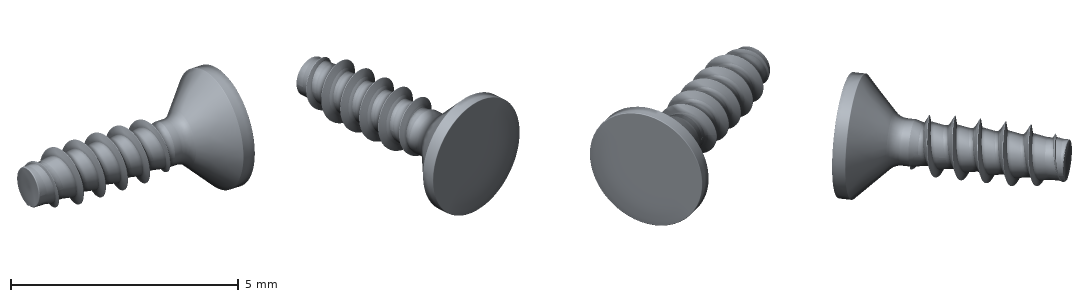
import cadquery as cq
import math


LENGTH = 5.0

HEAD_RADIUS = 1.4
HEAD_RIM_HEIGHT = 0.3
HEAD_CONE_ANGLE = 45.0
HEAD_EDGE_ROUND = 0.015
NECK_FILLET_RADIUS = 0.4

SHANK_RADIUS = 0.525
SHANK_END = 1.53
CORE_RADIUS = 0.473
CORE_START = 1.73

TIP_RADIUS = 0.464
TIP_EDGE_ROUND = 0.022
TIP_DISH_DEPTH = 0.03

PITCH = 0.57
THREAD_START = 1.442
START_ANGLE = 180.0
RUN_IN_TURNS = 1.0
FULL_TURNS = 3.75
RUN_OUT_TURNS = 1.3
OVERRUN_TURNS = 0.6
STEPS_PER_TURN = 24

CREST_RADIUS = 0.7
CREST_HALF_WIDTH = 0.006
RUN_IN_RADIUS = 0.56
RUN_OUT_RADIUS = 0.495
OVERRUN_RADIUS = 0.42

HEAD_SIDE_FLANK = ((-0.145, 0.235), (-0.09, 0.165))
TIP_SIDE_STEEPNESS = 3.1
THREAD_INNER_RADIUS = 0.15

LAND_RADIUS = 0.525
LAND_SLOPE = 0.16
LAND_END = 0.4
RUN_OUT_LAND_DROP = 0.045


def thread_section(crest_radius, land_radius):
    """Corners of the thread and its root land, as (axial offset from the crest, radius)."""
    height_above_land = crest_radius - land_radius
    flank_foot = (height_above_land + TIP_SIDE_STEEPNESS * CREST_HALF_WIDTH) / (
        TIP_SIDE_STEEPNESS - LAND_SLOPE
    )
    head_side = [(offset, crest_radius - drop) for offset, drop in HEAD_SIDE_FLANK]
    head_side_offset = HEAD_SIDE_FLANK[0][0]
    return [
        (head_side_offset, THREAD_INNER_RADIUS),
        *head_side,
        (-CREST_HALF_WIDTH, crest_radius),
        (CREST_HALF_WIDTH, crest_radius),
        (flank_foot, land_radius - LAND_SLOPE * flank_foot),
        (LAND_END, land_radius - LAND_SLOPE * LAND_END),
        (LAND_END, THREAD_INNER_RADIUS),
    ]


def corner_curve(start_turn, end_turn, start_corner, end_corner):
    """Helical curve along which one section corner moves evenly from start to end."""
    steps = math.ceil((end_turn - start_turn) * STEPS_PER_TURN)
    points = []
    for step in range(steps + 1):
        share = step / steps
        turn = start_turn + (end_turn - start_turn) * share
        offset = start_corner[0] + (end_corner[0] - start_corner[0]) * share
        radius = start_corner[1] + (end_corner[1] - start_corner[1]) * share
        angle = math.radians(START_ANGLE) + 2 * math.pi * turn
        depth = THREAD_START + PITCH * turn + offset
        points.append(cq.Vector(radius * math.cos(angle), radius * math.sin(angle), depth))
    return cq.Edge.makeSpline(points)


def cap_face(corners):
    """Flat face closing one end of the thread."""
    return cq.Face.makeFromWires(cq.Wire.makePolygon(corners, close=True))


def make_thread():
    """Thread and root land with run-in and run-out, trimmed to the threaded length."""
    full_end = RUN_IN_TURNS + FULL_TURNS
    run_out_end = full_end + RUN_OUT_TURNS
    run_out_land = LAND_RADIUS - RUN_OUT_LAND_DROP
    stations = (
        (0.0, thread_section(RUN_IN_RADIUS, LAND_RADIUS)),
        (RUN_IN_TURNS, thread_section(CREST_RADIUS, LAND_RADIUS)),
        (full_end, thread_section(CREST_RADIUS, LAND_RADIUS)),
        (run_out_end, thread_section(RUN_OUT_RADIUS, run_out_land)),
        (run_out_end + OVERRUN_TURNS, thread_section(OVERRUN_RADIUS, OVERRUN_RADIUS)),
    )
    faces = []
    for (start_turn, start_section), (end_turn, end_section) in zip(stations, stations[1:]):
        curves = [
            corner_curve(start_turn, end_turn, start_corner, end_corner)
            for start_corner, end_corner in zip(start_section, end_section)
        ]
        if not faces:
            faces.append(cap_face([curve.startPoint() for curve in curves]))
        for curve, following in zip(curves, curves[1:] + curves[:1]):
            faces.append(cq.Face.makeRuledSurface(curve, following))
    faces.append(cap_face([curve.endPoint() for curve in curves]))
    thread = cq.Workplane(obj=cq.Solid.makeSolid(cq.Shell.makeShell(faces)).fix())
    threaded_length = (
        cq.Workplane("XY").workplane(offset=SHANK_END).circle(HEAD_RADIUS).extrude(LENGTH - SHANK_END)
    )
    return thread.intersect(threaded_length)


def revolve_profile(profile):
    """Solid of revolution about the screw axis from a half profile of (radius, depth)."""
    return profile.close().revolve(360, (0, 0, 0), (0, 1, 0))


def make_head_and_core():
    """Head, neck fillet, shank and plain core, running to the tip."""
    cone_angle = math.radians(HEAD_CONE_ANGLE)
    fillet_top_radius = SHANK_RADIUS + NECK_FILLET_RADIUS * (1 - math.cos(cone_angle))
    fillet_top = HEAD_RIM_HEIGHT + (HEAD_RADIUS - fillet_top_radius) / math.tan(cone_angle)
    fillet_bottom = fillet_top + NECK_FILLET_RADIUS * math.sin(cone_angle)
    half_sweep = cone_angle / 2
    fillet_middle = (
        SHANK_RADIUS + NECK_FILLET_RADIUS * (1 - math.cos(half_sweep)),
        fillet_bottom - NECK_FILLET_RADIUS * math.sin(half_sweep),
    )
    tip_round_inset = TIP_EDGE_ROUND * (1 - math.sqrt(0.5))
    tip_round_middle = (TIP_RADIUS - tip_round_inset, LENGTH - tip_round_inset)
    body = revolve_profile(
        cq.Workplane("XZ")
        .lineTo(HEAD_RADIUS, 0)
        .lineTo(HEAD_RADIUS, HEAD_RIM_HEIGHT)
        .lineTo(fillet_top_radius, fillet_top)
        .threePointArc(fillet_middle, (SHANK_RADIUS, fillet_bottom))
        .lineTo(SHANK_RADIUS, SHANK_END)
        .lineTo(CORE_RADIUS, CORE_START)
        .lineTo(TIP_RADIUS, LENGTH - TIP_EDGE_ROUND)
        .threePointArc(tip_round_middle, (TIP_RADIUS - TIP_EDGE_ROUND, LENGTH))
        .lineTo(0, LENGTH)
    )
    rim_edges = cq.selectors.RadiusNthSelector(-1)
    return body.edges(rim_edges).fillet(HEAD_EDGE_ROUND)


def make_tip_dish():
    """Shallow cone hollowed out of the end face."""
    return revolve_profile(
        cq.Workplane("XZ")
        .moveTo(0, LENGTH)
        .lineTo(TIP_RADIUS - TIP_EDGE_ROUND, LENGTH)
        .lineTo(0, LENGTH - TIP_DISH_DEPTH)
    )


screw = make_head_and_core().union(make_thread(), clean=False).cut(make_tip_dish())
result = screw.rotate((0, 0, 0), (1, 0, 0), 90)